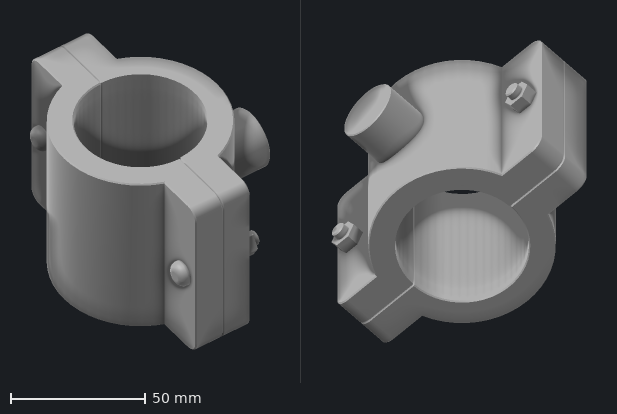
import cadquery as cq

HEIGHT = 73.0
BORE_RADIUS = 25.0
RING_RADIUS = 35.0
FLANGE_SPAN = 106.0
FLANGE_THICKNESS = 12.5
FLANGE_CORNER_RADIUS = 5.3
EDGE_BREAK = 0.5
RIM_REACH = BORE_RADIUS + EDGE_BREAK

STUB_DIAMETER = 24.22
STUB_END_Y = 51.0
STUB_ROOT_Y = (BORE_RADIUS + RING_RADIUS) / 2
STUB_CHAMFER = 0.4

BOLT_OFFSET_X = 45.0
BOLT_DIAMETER = 6.0
BOLT_END_Y = 20.5
BOLT_TIP_CHAMFER = 0.5
HEAD_DIAMETER = 10.0
HEAD_HEIGHT = 4.0
HEAD_DOME_RADIUS = 3.0
NUT_ACROSS_CORNERS = 11.55
NUT_HEIGHT = 5.0


def plane_at(y, x=0.0):
    """Workplane at the given Y whose normal points along +Y."""
    return cq.Workplane(cq.Plane(origin=(x, y, 0), xDir=(1, 0, 0), normal=(0, 1, 0)))


def make_outer_half(side):
    """Solid half of the clamp on the given Y side (+1 or -1), with broken outer edges."""
    flange = (
        cq.Workplane("XY")
        .box(FLANGE_SPAN, 2 * FLANGE_THICKNESS, HEIGHT)
        .edges("|Y")
        .fillet(FLANGE_CORNER_RADIUS)
        .faces("<Y or >Y")
        .chamfer(EDGE_BREAK)
    )
    ring = (
        cq.Workplane("XY")
        .circle(RING_RADIUS)
        .extrude(HEIGHT / 2, both=True)
        .faces("<Z or >Z")
        .chamfer(EDGE_BREAK)
    )
    half_space = cq.Workplane("XY").box(FLANGE_SPAN, RING_RADIUS, HEIGHT)
    half_space = half_space.translate((0, side * RING_RADIUS / 2, 0))
    return flange.union(ring).intersect(half_space)


def make_bore():
    """Cylinder that clears the inside of the ring."""
    return cq.Workplane("XY").circle(BORE_RADIUS).extrude(HEIGHT / 2, both=True)


def make_back_half():
    """+Y half: its parting edges are broken and its bore rims stay sharp."""
    return make_outer_half(1).cut(make_bore()).faces("<Y").chamfer(EDGE_BREAK)


def make_front_half():
    """-Y half: parting edges and bore rims are all broken."""
    half = make_outer_half(-1).cut(make_bore())
    bore_rims = half.edges(
        cq.selectors.BoxSelector(
            (-RIM_REACH, -RIM_REACH, -HEIGHT), (RIM_REACH, RIM_REACH, HEIGHT), boundingbox=True
        )
    )
    return bore_rims.add(half.faces(">Y").edges()).chamfer(EDGE_BREAK)


def make_stub():
    """Round branch stub rooted in the ring wall."""
    return (
        plane_at(STUB_ROOT_Y)
        .circle(STUB_DIAMETER / 2)
        .extrude(STUB_END_Y - STUB_ROOT_Y)
        .faces(">Y")
        .chamfer(STUB_CHAMFER)
    )


def make_bolt(x):
    """Button-head bolt with its hexagonal nut."""
    shank = (
        plane_at(-FLANGE_THICKNESS, x)
        .circle(BOLT_DIAMETER / 2)
        .extrude(FLANGE_THICKNESS + BOLT_END_Y)
        .faces(">Y")
        .chamfer(BOLT_TIP_CHAMFER)
    )
    nut = plane_at(FLANGE_THICKNESS, x).polygon(6, NUT_ACROSS_CORNERS).extrude(NUT_HEIGHT)
    head = (
        plane_at(-FLANGE_THICKNESS - HEAD_HEIGHT, x)
        .circle(HEAD_DIAMETER / 2)
        .extrude(HEAD_HEIGHT)
        .faces("<Y")
        .edges()
        .fillet(HEAD_DOME_RADIUS)
    )
    return shank.union(nut).union(head)


result = make_back_half().union(make_front_half()).union(make_stub())
for bolt_x in (-BOLT_OFFSET_X, BOLT_OFFSET_X):
    result = result.union(make_bolt(bolt_x))